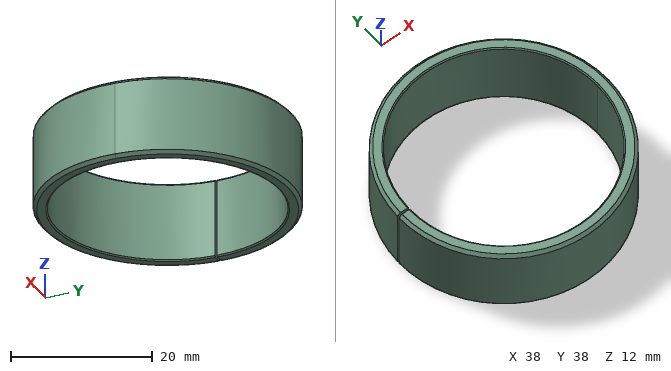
import cadquery as cq

outer_radius = 19.0
inner_radius = 17.0
height = 12.0
outer_chamfer = 0.5
inner_chamfer = 0.2

gap_angle = 1.0
cutter_radius = outer_radius + 1.0


def make_ring():
    """Revolve the wall section, with both rims chamfered inside and outside."""
    top = height / 2
    bottom = -top
    section = [
        (inner_radius, bottom + inner_chamfer),
        (inner_radius + inner_chamfer, bottom),
        (outer_radius - outer_chamfer, bottom),
        (outer_radius, bottom + outer_chamfer),
        (outer_radius, top - outer_chamfer),
        (outer_radius - outer_chamfer, top),
        (inner_radius + inner_chamfer, top),
        (inner_radius, top - inner_chamfer),
    ]
    return cq.Workplane("XZ").polyline(section).close().revolve(360, (0, 0, 0), (0, 1, 0))


def make_gap():
    """Wedge cutter whose two faces are radial, one lying on the -X axis."""
    sector = cq.Solid.makeCylinder(
        cutter_radius,
        height,
        pnt=cq.Vector(0, 0, -height / 2),
        angleDegrees=gap_angle,
    )
    return cq.Workplane(sector).rotate((0, 0, 0), (0, 0, 1), 180 - gap_angle)


result = make_ring().cut(make_gap())